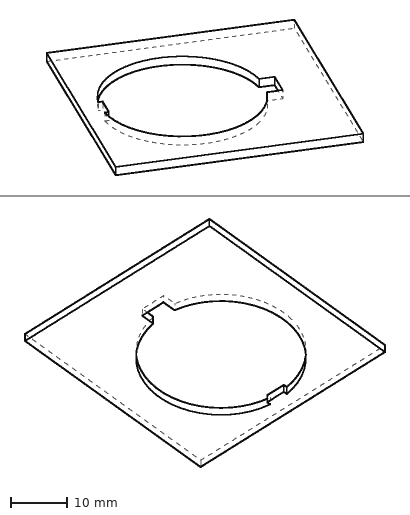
import cadquery as cq

plate_width = 44.8
plate_length = 45.75
plate_thickness = 1.7

hole_diameter = 30.2
hole_center_y = -4.15

notch_width = 5.15
notch_reach = 17.75

tab_width = 4.05
tab_reach = 14.2


def block_from_hole_center(width, start, end):
    """Block through the plate, from start to end in Y relative to the opening's centre."""
    return (
        cq.Workplane("XY")
        .center(0, hole_center_y + (start + end) / 2)
        .rect(width, end - start)
        .extrude(plate_thickness)
    )


plate = cq.Workplane("XY").rect(plate_width, plate_length).extrude(plate_thickness)

round_hole = (
    cq.Workplane("XY")
    .center(0, hole_center_y)
    .circle(hole_diameter / 2)
    .extrude(plate_thickness)
)
notch = block_from_hole_center(notch_width, 0, notch_reach)
tab = block_from_hole_center(tab_width, -hole_diameter / 2, -tab_reach)
opening = round_hole.union(notch).cut(tab)

result = plate.cut(opening)